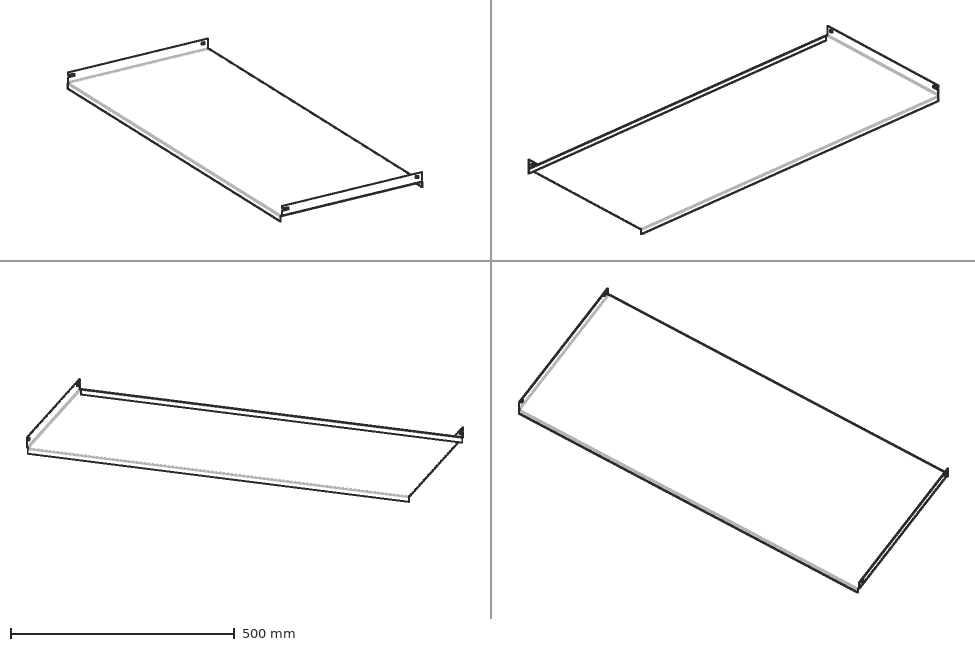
import cadquery as cq

length = 906.0
width = 375.0
height = 38.0

thickness = 2.0
inner_radius = 1.4
outer_radius = inner_radius + thickness
plate_top = 14.5
plate_bottom = plate_top - thickness

opening_z = height - 9.0
opening_height = 5.0
hole_length = 8.0
hole_edge_distance = 13.0
slot_depth = 17.0

flat_length = length - 2 * outer_radius
flat_width = width - 2 * outer_radius


def rounded_block(size_x, size_y, bottom, top, bend_edges, radius):
    """Centred block from bottom to top with the selected edges rounded."""
    block = cq.Workplane("XY", origin=(0, 0, bottom)).rect(size_x, size_y).extrude(top - bottom)
    return block.edges(bend_edges).fillet(radius)


def upturned_ends():
    """Plate with a flange bent up at each end."""
    bend_edges = "|Y and <Z"
    outside = rounded_block(length, flat_width, plate_bottom, height, bend_edges, outer_radius)
    inside = rounded_block(
        length - 2 * thickness, flat_width, plate_top, height, bend_edges, inner_radius
    )
    return outside.cut(inside)


def downturned_lips():
    """Plate with a lip bent down along the front and the back."""
    bend_edges = "|X and >Z"
    outside = rounded_block(flat_length, width, 0, plate_top, bend_edges, outer_radius)
    inside = rounded_block(
        flat_length, width - 2 * thickness, 0, plate_bottom, bend_edges, inner_radius
    )
    return outside.cut(inside)


def flange_opening(center_y, opening_length):
    """Obround cutter running through both end flanges."""
    profile = cq.Workplane("YZ", origin=(0, center_y, opening_z))
    return profile.slot2D(opening_length, opening_height).extrude(length, both=True)


back_hole = flange_opening(flat_width / 2 - hole_edge_distance, hole_length)
front_slot = flange_opening(-flat_width / 2, 2 * slot_depth)

end_flanges = upturned_ends().cut(back_hole).cut(front_slot)
result = end_flanges.union(downturned_lips())